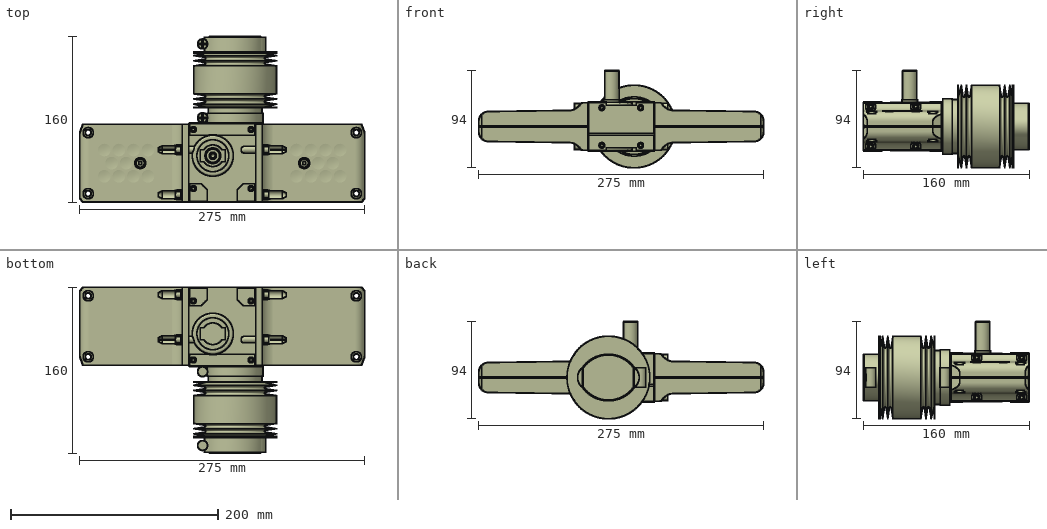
import cadquery as cq
import math


overall_length = 275.0
overall_height = 94.0
overall_depth = 160.0
bellows_diameter = 80.0
bellows_radius = bellows_diameter / 2
wing_half_width = 37.7
joint_x = 32.2
seam_width = 1.6
seam_depth = 0.5

gearbox_back_y = 38.8
floor_z = 20.5
pad_height = 3.3
pad_z = floor_z + pad_height
back_pad_front_y = 27.0
front_pad_back_y = -19.8
front_pad_inner_x = 14.3
front_pad_corner = 6.0
gearbox_edge_chamfer = 0.8
cover_seam_z = -7.5
thread_diameter = 3.3
thread_mouth_diameter = 5.5
thread_depth = 8.2
face_hole_x = 27.8
face_hole_ys = (-24.5, 32.5)
front_hole_x = 18.7
front_hole_z = 18.2

shaft_x = -9.0
shaft_y = 7.2
shaft_diameter = 14.0
shaft_collar_diameter = 15.0
shaft_collar_top_z = 25.8
shaft_top_z = overall_height - bellows_radius
shaft_end_chamfer = 0.5
shaft_bottom_z = 0.0
centre_hole_diameter = 4.5
centre_hole_mouth = 7.0
centre_hole_depth = 8.2
boss_radius = 19.8
boss_height = 2.8
boss_rounding = 2.2
boss_clearance_radius = 20.4
boss_recess_radius = 15.5
boss_recess_depth = 1.0
seal_bore_diameter = 21.0
seal_bore_depth = 2.2
seal_slot_length = 24.2
seal_slot_width = 11.5

wing_end_height = 14.5
wing_root_height = 15.7
wing_end_radius = 9.5
wing_end_x = overall_length / 2
root_curve_start_x = 48.5
root_curve_middle = (42.4, 18.5)
flange_outer_x = 38.8
flange_outer_z = 22.5
flange_flat_x = 36.8
flange_z = 23.0
end_corner_setback_x = 3.0
back_corner_setback_y = 8.2
front_corner_setback_y = 3.8
corner_hole_x = 129.2
corner_hole_y = 29.5
corner_hole_diameter = 5.5
corner_counterbore_diameter = 10.0
corner_counterbore_z = 12.5

bolt_ys = (13.0, -30.5)
bolt_z = 19.2
bolt_head_diameter = 6.0
bolt_head_end_x = 45.0
bolt_socket_diameter = 3.3
bolt_socket_depth = 1.6
bolt_tip_diameter = 7.0
bolt_tip_end_x = 18.2
bolt_tip_rounding = 2.8
spotface_diameter = 10.0
spotface_inner_x = 40.0
spotface_outer_x = 46.8
trough_diameter = 8.0
trough_z = 16.2
trough_end_x = 57.8
trough_tip_length = 3.8
trough_tip_radius = 2.0
trough_slit_width = 1.5
trough_slit_floor_z = 11.5

dimple_diameter = 12.0
dimple_depth = 0.5
dimple_pitch = 14.0
dimples_per_row = 4
dimple_first_x = 72.0
dimple_row_spacing = 12.6
plug_recess_diameter = 10.5
plug_recess_depth = 1.5
plug_diameter = 8.0
plug_height = 1.0
plug_hole_diameter = 3.3

coupling_x = 12.5
bellows_valley_radius = 28.5
valley_rounding = 0.8
bellows_middle_y = 80.3
drum_half_length = 13.5
crest_offsets = (18.5, 23.5)
front_disc_y = 53.4
front_disc_thickness = 0.4
rear_disc_y = 106.0
rear_disc_thickness = 1.6
front_hub_radius = 27.0
front_hub_end_y = 48.0
neck_radius = 26.0
rear_hub_end_y = overall_depth - wing_half_width
rear_hub_half_height = 22.5
rear_hub_shoulder_x = 25.0
rear_hub_half_width = 29.7
rear_hub_chamfer = 0.8
clamp_screw_ys = (43.7, 115.0)
clamp_screw_offset = 31.4
clamp_screw_diameter = 9.5
clamp_screw_length = 19.2
clamp_cross_length = 7.0
clamp_cross_width = 1.5
clamp_cross_depth = 2.8


def both_faces(shape):
    """The shape together with its mirror image below the XY plane."""
    return shape.union(shape.mirror("XY"))


def cylinder_z(x, y, z_low, z_high, diameter):
    return cq.Workplane("XY", origin=(x, y, z_low)).circle(diameter / 2).extrude(z_high - z_low)


def cylinder_x(x_low, x_high, y, z, diameter):
    return cq.Workplane("YZ", origin=(x_low, y, z)).circle(diameter / 2).extrude(x_high - x_low)


def box(x_range, y_range, z_range):
    sides = [high - low for low, high in (x_range, y_range, z_range)]
    return cq.Workplane("XY").box(*sides, centered=False).translate((x_range[0], y_range[0], z_range[0]))


def countersunk_hole(diameter, mouth, depth):
    """Blind hole cutter going down from the origin, with a 45 degree countersink and a drill point."""
    radius = diameter / 2
    sink_depth = (mouth - diameter) / 2
    return (
        cq.Workplane("XZ")
        .polyline([
            (0, 0), (mouth / 2, 0), (radius, -sink_depth), (radius, -depth), (0, -depth - radius),
        ])
        .close()
        .revolve(360, (0, 0), (0, 1))
    )


def gearbox_block():
    x_range = (-joint_x, joint_x)
    block = box(x_range, (-wing_half_width, gearbox_back_y), (-pad_z, pad_z))
    block = block.edges().chamfer(gearbox_edge_chamfer)
    recess = box(x_range, (-wing_half_width, back_pad_front_y), (floor_z, pad_z))
    for side in (-1, 1):
        pad = (
            cq.Workplane("XY", origin=(0, 0, floor_z))
            .polyline([
                (side * joint_x, -wing_half_width),
                (side * front_pad_inner_x, -wing_half_width),
                (side * front_pad_inner_x, front_pad_back_y - front_pad_corner),
                (side * (front_pad_inner_x + front_pad_corner), front_pad_back_y),
                (side * joint_x, front_pad_back_y),
            ])
            .close()
            .extrude(pad_height)
        )
        recess = recess.cut(pad)
    recess = recess.union(cylinder_z(shaft_x, shaft_y, floor_z, pad_z, 2 * boss_clearance_radius))
    return block.cut(both_faces(recess))


def cover_seam():
    half = seam_width / 2
    y_front = -wing_half_width
    z_range = (cover_seam_z - half, cover_seam_z + half)
    slab = box((-joint_x, joint_x), (y_front, gearbox_back_y), z_range)
    core = box(
        (-joint_x + seam_depth, joint_x - seam_depth),
        (y_front + seam_depth, gearbox_back_y - seam_depth),
        z_range,
    )
    return slab.cut(core)


def bearing_boss():
    boss = cylinder_z(shaft_x, shaft_y, floor_z, floor_z + boss_height, 2 * boss_radius)
    return both_faces(boss.faces(">Z").edges().fillet(boss_rounding))


def bearing_recess():
    top = floor_z + boss_height
    recess_floor = top - boss_recess_depth
    seal_floor = recess_floor - seal_bore_depth
    recess = cylinder_z(shaft_x, shaft_y, recess_floor, top, 2 * boss_recess_radius)
    seal_bore = cylinder_z(shaft_x, shaft_y, seal_floor, recess_floor, seal_bore_diameter)
    seal_slot = box(
        (shaft_x - seal_slot_length / 2, shaft_x + seal_slot_length / 2),
        (shaft_y - seal_slot_width / 2, shaft_y + seal_slot_width / 2),
        (seal_floor, recess_floor),
    )
    return both_faces(recess.union(seal_bore).union(seal_slot))


def bolt_tips():
    """Ends of the rear-row bolts, partly sunk in the recessed faces."""
    tip = cylinder_x(bolt_tip_end_x, joint_x, bolt_ys[0], bolt_z, bolt_tip_diameter)
    tip = tip.faces("<X").edges().fillet(bolt_tip_rounding)
    return both_faces(tip.union(tip.mirror("YZ")))


def make_gearbox():
    body = gearbox_block().cut(cover_seam()).union(bolt_tips()).union(bearing_boss()).cut(bearing_recess())
    hole = countersunk_hole(thread_diameter, thread_mouth_diameter, thread_depth)
    front_hole = hole.rotate((0, 0, 0), (1, 0, 0), 90)
    for side in (-1, 1):
        for y in face_hole_ys:
            body = body.cut(both_faces(hole.translate((side * face_hole_x, y, pad_z))))
        front = front_hole.translate((side * front_hole_x, -wing_half_width, front_hole_z))
        body = body.cut(both_faces(front))
    return body.cut(make_shaft_blank())


def make_shaft_blank():
    collar = cylinder_z(shaft_x, shaft_y, shaft_bottom_z, shaft_collar_top_z, shaft_collar_diameter)
    journal = cylinder_z(shaft_x, shaft_y, shaft_collar_top_z, shaft_top_z, shaft_diameter)
    return collar.union(journal.faces(">Z").edges().chamfer(shaft_end_chamfer))


def make_shaft():
    centre_hole = countersunk_hole(centre_hole_diameter, centre_hole_mouth, centre_hole_depth)
    return make_shaft_blank().cut(centre_hole.translate((shaft_x, shaft_y, shaft_top_z)))


def wing_blank():
    arc_x = wing_end_x - wing_end_radius
    arc_z = wing_end_height - wing_end_radius
    diagonal = wing_end_radius * math.sqrt(0.5)
    upper_half = (
        cq.Workplane("XZ", origin=(0, wing_half_width, 0))
        .moveTo(joint_x, 0)
        .lineTo(joint_x, flange_z)
        .lineTo(flange_flat_x, flange_z)
        .lineTo(flange_outer_x, flange_outer_z)
        .threePointArc(root_curve_middle, (root_curve_start_x, wing_root_height))
        .lineTo(arc_x, wing_end_height)
        .threePointArc((arc_x + diagonal, arc_z + diagonal), (wing_end_x, arc_z))
        .lineTo(wing_end_x, 0)
        .close()
        .extrude(2 * wing_half_width)
    )
    return both_faces(upper_half).intersect(wing_outline(0))


def wing_outline(inset):
    """Tall prism with the plan outline of the wing, drawn in by the inset on its free sides."""
    y = wing_half_width - inset
    x_end = wing_end_x - inset
    x_corner = x_end - end_corner_setback_x
    return (
        cq.Workplane("XY", origin=(0, 0, -flange_z))
        .polyline([
            (joint_x, -y), (x_corner, -y), (x_end, front_corner_setback_y - y),
            (x_end, y - back_corner_setback_y), (x_corner, y), (joint_x, y),
        ])
        .close()
        .extrude(2 * flange_z)
    )


def wing_seam():
    slab = box(
        (joint_x, wing_end_x),
        (-wing_half_width, wing_half_width),
        (-seam_width / 2, seam_width / 2),
    )
    return slab.cut(wing_outline(seam_depth))


def wing_face_z(x):
    """Height of the gently sloping wing face."""
    slope_end_x = wing_end_x - wing_end_radius
    share = (x - root_curve_start_x) / (slope_end_x - root_curve_start_x)
    return wing_root_height + share * (wing_end_height - wing_root_height)


def dimple(x, y):
    rim = dimple_diameter / 2
    ball_radius = (rim**2 + dimple_depth**2) / (2 * dimple_depth)
    ball = cq.Workplane("XZ").sphere(ball_radius)
    return ball.translate((x, y, wing_face_z(x) - dimple_depth + ball_radius))


def dimples():
    """Two outer rows of four dimples and two in a staggered middle row beside the plug."""
    cutters = []
    for step in range(dimples_per_row):
        x = dimple_first_x + step * dimple_pitch
        cutters += [dimple(x, dimple_row_spacing), dimple(x, -dimple_row_spacing)]
    for step in range(1, dimples_per_row - 1):
        cutters.append(dimple(dimple_first_x + (step + 0.5) * dimple_pitch, 0))
    return cutters


def plug_recess():
    x = dimple_first_x + dimple_pitch / 2
    floor = wing_face_z(x) - plug_recess_depth
    recess = cylinder_z(x, 0, floor, wing_root_height, plug_recess_diameter)
    plug = cylinder_z(x, 0, floor, floor + plug_height, plug_diameter)
    plug_hole = cylinder_z(x, 0, floor, floor + plug_height, plug_hole_diameter)
    return recess.cut(plug).union(plug_hole)


def bolt_trough(y):
    """Spotface for a bolt head and the long trough that gives access to it."""
    radius = trough_diameter / 2
    trough = cylinder_x(spotface_inner_x, trough_end_x, y, trough_z, trough_diameter)
    tip = cq.Workplane("XY").add(
        cq.Solid.makeCone(
            radius, trough_tip_radius, trough_tip_length,
            cq.Vector(trough_end_x, y, trough_z), cq.Vector(1, 0, 0),
        )
    )
    spotface = cylinder_x(spotface_inner_x, spotface_outer_x, y, bolt_z, spotface_diameter)
    return both_faces(trough.union(tip).union(spotface))


def trough_slit(y):
    slit = box(
        (spotface_outer_x, trough_end_x + trough_tip_length),
        (y - trough_slit_width / 2, y + trough_slit_width / 2),
        (trough_slit_floor_z, trough_z),
    )
    return both_faces(slit)


def bolt_head(y):
    head = cylinder_x(spotface_inner_x, bolt_head_end_x, y, bolt_z, bolt_head_diameter)
    socket = cylinder_x(bolt_head_end_x - bolt_socket_depth, bolt_head_end_x, y, bolt_z, bolt_socket_diameter)
    return both_faces(head.cut(socket))


def make_wing():
    wing = wing_blank().cut(wing_seam()).cut(trough_slit(bolt_ys[0]))
    for y in bolt_ys:
        wing = wing.cut(bolt_trough(y)).union(bolt_head(y))
    for y in (-corner_hole_y, corner_hole_y):
        through = cylinder_z(corner_hole_x, y, -flange_z, flange_z, corner_hole_diameter)
        counterbore = cylinder_z(
            corner_hole_x, y, corner_counterbore_z, flange_z, corner_counterbore_diameter
        )
        wing = wing.cut(through).cut(both_faces(counterbore))
    for cutter in dimples():
        wing = wing.cut(cutter)
    return wing.cut(plug_recess())


def add_fold(profile, crest_y, next_crest_y):
    """Extend the half profile from one crest over a rounded valley to the next crest."""
    valley_y = (crest_y + next_crest_y) / 2
    rounding_radius = bellows_valley_radius + valley_rounding
    return (
        profile.lineTo(rounding_radius, valley_y - valley_rounding)
        .threePointArc((bellows_valley_radius, valley_y), (rounding_radius, valley_y + valley_rounding))
        .lineTo(bellows_radius, next_crest_y)
    )


def turned_body():
    """Hub, neck, end discs, folds and drum, all turned about one axis."""
    front_folds_y = [bellows_middle_y - offset for offset in (*reversed(crest_offsets), drum_half_length)]
    rear_folds_y = [bellows_middle_y + offset for offset in (drum_half_length, *crest_offsets)]
    front_disc_end_y = front_disc_y + front_disc_thickness
    rear_disc_end_y = rear_disc_y + rear_disc_thickness
    profile = (
        cq.Workplane("XY")
        .moveTo(0, gearbox_back_y)
        .lineTo(front_hub_radius, gearbox_back_y)
        .lineTo(front_hub_radius, front_hub_end_y)
        .lineTo(neck_radius, front_hub_end_y)
        .lineTo(neck_radius, front_disc_y)
        .lineTo(bellows_radius, front_disc_y)
        .lineTo(bellows_radius, front_disc_end_y)
        .lineTo(bellows_valley_radius, front_disc_end_y)
        .lineTo(bellows_radius, front_folds_y[0])
    )
    for crest_y, next_crest_y in zip(front_folds_y, front_folds_y[1:]):
        profile = add_fold(profile, crest_y, next_crest_y)
    profile = profile.lineTo(bellows_radius, rear_folds_y[0])
    for crest_y, next_crest_y in zip(rear_folds_y, rear_folds_y[1:]):
        profile = add_fold(profile, crest_y, next_crest_y)
    return (
        profile.lineTo(bellows_valley_radius, rear_disc_y)
        .lineTo(bellows_radius, rear_disc_y)
        .lineTo(bellows_radius, rear_disc_end_y)
        .lineTo(0, rear_disc_end_y)
        .close()
        .revolve(360, (0, 0), (0, 1))
    )


def rear_hub():
    """Clamping hub: a lens-shaped body with a narrower lug on both ends."""
    y_start = rear_disc_y + rear_disc_thickness
    shoulder_z = clamp_screw_length / 2
    x = rear_hub_shoulder_x
    lens = (
        cq.Workplane("XZ", origin=(0, y_start, 0))
        .moveTo(-x, shoulder_z)
        .threePointArc((0, rear_hub_half_height), (x, shoulder_z))
        .lineTo(x, -shoulder_z)
        .threePointArc((0, -rear_hub_half_height), (-x, -shoulder_z))
        .close()
        .extrude(y_start - rear_hub_end_y)
    )
    lens = lens.faces(">Y").edges().chamfer(rear_hub_chamfer)
    lugs = (
        cq.Workplane("XZ", origin=(0, y_start, 0))
        .moveTo(-x, shoulder_z)
        .lineTo(x, shoulder_z)
        .threePointArc((rear_hub_half_width, 0), (x, -shoulder_z))
        .lineTo(-x, -shoulder_z)
        .threePointArc((-rear_hub_half_width, 0), (-x, shoulder_z))
        .close()
        .extrude(y_start - rear_hub_end_y + rear_hub_chamfer)
    )
    return lens.union(lugs)


def clamp_screw(y):
    """Screw beside a hub, parallel to Z, with a cross recess in its head."""
    half = clamp_screw_length / 2
    screw = cylinder_z(-clamp_screw_offset, y, -half, half, clamp_screw_diameter)
    cross = (
        cq.Workplane("XY", origin=(-clamp_screw_offset, y, half))
        .rect(clamp_cross_length, clamp_cross_width)
        .extrude(-clamp_cross_depth)
    )
    centre = (-clamp_screw_offset, y, 0)
    turned_cross = cross.rotate(centre, (-clamp_screw_offset, y, 1), 90)
    return screw.cut(cross).cut(turned_cross)


def make_coupling():
    coupling = turned_body().union(rear_hub())
    for y in clamp_screw_ys:
        coupling = coupling.union(clamp_screw(y))
    return coupling.translate((coupling_x, 0, 0))


gearbox = make_gearbox()
shaft = make_shaft()
right_wing = make_wing()
left_wing = right_wing.mirror("YZ")
coupling = make_coupling()

bodies = (gearbox, shaft, left_wing, right_wing, coupling)
result = cq.Compound.makeCompound([body.solids().val() for body in bodies])